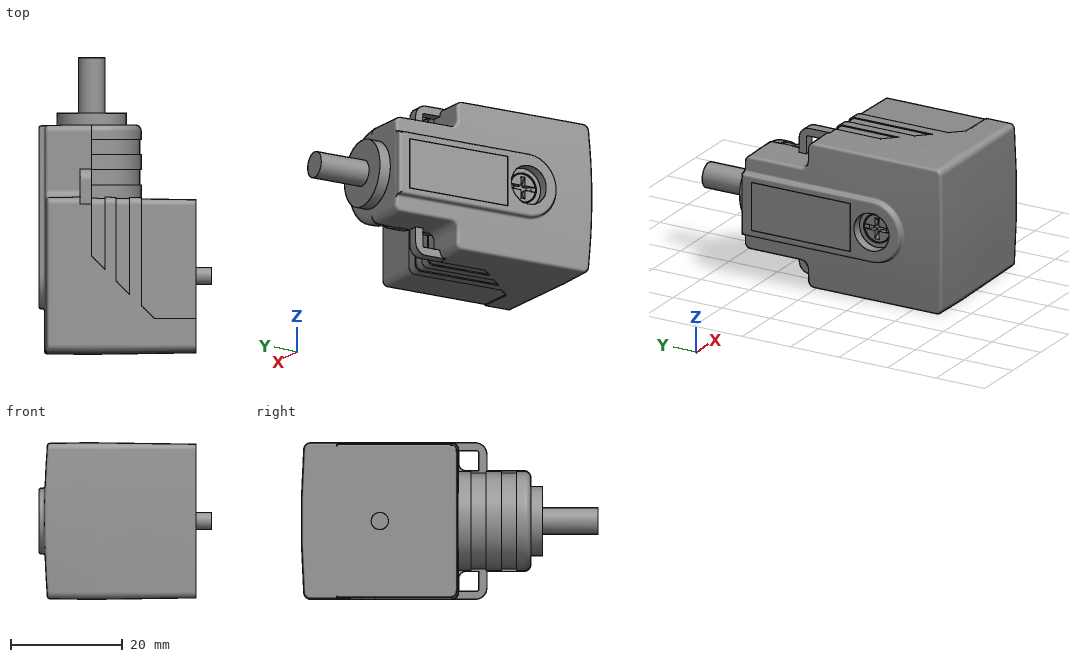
import cadquery as cq


BOX_LENGTH = 28.15
BOX_HALF_HEIGHT = 14.0
FRONT_BOW = 0.55
DRAFT = 0.8
CORNER_RADIUS = 1.25

BODY_DEPTH = 18.65
BODY_RIM_RADIUS = 0.15
RECESS_DEPTH = 0.2
STRIP_WIDTH = 2.4
STRIP_STARTS = ((0, 17.6), (4.35, 13.15))
PANEL_START_X = 8.85
PANEL_START_Y = 6.45
PANEL_CORNER = 2.35
OVERSHOOT = 0.55

COVER_DEPTH = 8.45
COVER_BOW = 0.6
COVER_RIM_RADIUS = 0.55

NECK_END = 41.0
NECK_HALF_HEIGHT = 9.0
NECK_RADIUS = 8.85
NECK_RIM_RADIUS = 1.15
GRIP_GROOVE_STARTS = (30.3, 35.7)
GRIP_GROOVE_WIDTH = 2.7
GRIP_GROOVE_DEPTH = 0.25
GLAND_RADIUS = 6.2
GLAND_END = 43.1
CABLE_RADIUS = 2.4
CABLE_END = 53.0

EAR_THICKNESS = 2.05
EAR_END = 33.2
EAR_BAR = 1.5
EAR_OUTER_RADIUS = 2.1
EAR_INNER_RADIUS = 0.35

PLATE_FACE_X = -9.45
PLATE_HALF_WIDTH = 5.9
PLATE_END = 40.85
PLATE_THICKNESS = 3.2
PLATE_RIM_RADIUS = 0.5
PLATE_FOOT_RADIUS = 0.4
LABEL_START = 18.45
LABEL_END = 38.8
LABEL_HALF_WIDTH = 4.6
LABEL_DEPTH = 0.1
SCREW_Y = 14.05
BORE_RADIUS = 3.6
BORE_DEPTH = 2.0
HEAD_RADIUS = 2.6
HEAD_GAP = 0.15
HEAD_GAP_DEPTH = 0.2
SLOT_WIDTH = 0.85
SLOT_DEPTH = 0.3
CROSS_LENGTH = 4.05
CROSS_DEPTH = 1.05
CROSS_TAPER = 37

PIN_RADIUS = 1.55
PIN_END_X = 21.4
PIN_RIM_RADIUS = 0.15


def block(x_range, y_range, z_range):
    """Axis-aligned box between the given limits."""
    spans = (x_range, y_range, z_range)
    lengths = [high - low for low, high in spans]
    return cq.Workplane("XY").box(*lengths, centered=False).translate([low for low, _ in spans])


def disc_y(radius, start, end):
    """Cylinder on the cable axis."""
    return cq.Workplane("XZ", origin=(0, start, 0)).circle(radius).extrude(start - end)


def disc_x(radius, start, end, y):
    """Cylinder along +X at the given Y."""
    return cq.Workplane("YZ", origin=(start, y, 0)).circle(radius).extrude(end - start)


def drafted_extrusion(outline, depth):
    """Extrude a YZ outline along X with rounded corners and draft."""
    wire = outline.val()
    rounded = wire.fillet2D(CORNER_RADIUS, wire.Vertices())
    return cq.Workplane("YZ").add(rounded).toPending().extrude(depth, taper=DRAFT)


def drafted_box(inset=0.0):
    """Body block with a bowed front; inset shrinks it in Y and Z."""
    half = BOX_HALF_HEIGHT - inset
    front = FRONT_BOW + inset
    outline = (
        cq.Workplane("YZ")
        .moveTo(front, -half)
        .lineTo(BOX_LENGTH - inset, -half)
        .lineTo(BOX_LENGTH - inset, half)
        .lineTo(front, half)
        .threePointArc((inset, 0), (front, -half))
        .close()
    )
    return drafted_extrusion(outline, BODY_DEPTH)


def recess_prism(*points):
    """Prism through the full height over an outline in the XY plane."""
    return cq.Workplane("XY").polyline(points).close().extrude(BOX_HALF_HEIGHT, both=True)


def make_body():
    body = drafted_box()
    back = BOX_LENGTH + OVERSHOOT
    right = BODY_DEPTH + OVERSHOOT
    recesses = recess_prism(
        (PANEL_START_X, back),
        (PANEL_START_X, PANEL_START_Y + PANEL_CORNER),
        (PANEL_START_X + PANEL_CORNER, PANEL_START_Y),
        (right, PANEL_START_Y),
        (right, back),
    )
    for x, y in STRIP_STARTS:
        end_x = x + STRIP_WIDTH
        recesses = recesses.union(recess_prism((x, back), (x, y), (end_x, y - STRIP_WIDTH), (end_x, back)))
    body = body.cut(recesses.cut(drafted_box(RECESS_DEPTH)))
    return body.faces(">X").edges().fillet(BODY_RIM_RADIUS)


def make_cover():
    outline = (
        cq.Workplane("YZ")
        .moveTo(FRONT_BOW, -BOX_HALF_HEIGHT)
        .lineTo(BOX_LENGTH, -BOX_HALF_HEIGHT)
        .lineTo(BOX_LENGTH, -NECK_HALF_HEIGHT)
        .lineTo(NECK_END, -NECK_HALF_HEIGHT)
        .lineTo(NECK_END, NECK_HALF_HEIGHT)
        .lineTo(BOX_LENGTH, NECK_HALF_HEIGHT)
        .lineTo(BOX_LENGTH, BOX_HALF_HEIGHT)
        .lineTo(FRONT_BOW, BOX_HALF_HEIGHT)
        .threePointArc((0, 0), (FRONT_BOW, -BOX_HALF_HEIGHT))
        .close()
    )
    cover = drafted_extrusion(outline, -COVER_DEPTH - OVERSHOOT)
    half = BOX_HALF_HEIGHT + OVERSHOOT
    edge_x = COVER_BOW - COVER_DEPTH
    crown = (
        cq.Workplane("XZ", origin=(0, -OVERSHOOT, 0))
        .moveTo(0, -half)
        .lineTo(edge_x, -half)
        .threePointArc((-COVER_DEPTH, 0), (edge_x, half))
        .lineTo(0, half)
        .close()
        .extrude(-NECK_END - 2 * OVERSHOOT)
    )
    return cover.intersect(crown).faces("<X").edges().fillet(COVER_RIM_RADIUS)


def make_ears():
    """Both ears as one U-shaped loop; its middle lies inside the neck."""
    root = BOX_LENGTH - CORNER_RADIUS
    loop = block((-EAR_THICKNESS, 0), (root, EAR_END), (-BOX_HALF_HEIGHT, BOX_HALF_HEIGHT))
    loop = loop.edges("|X and >Y").fillet(EAR_OUTER_RADIUS)
    window_half = BOX_HALF_HEIGHT - EAR_BAR
    window = block((-EAR_THICKNESS, 0), (root, EAR_END - EAR_BAR), (-window_half, window_half))
    window = window.edges("|X and >Y").fillet(EAR_INNER_RADIUS)
    return loop.cut(window)


def make_neck():
    neck = disc_y(NECK_RADIUS, BOX_LENGTH - CORNER_RADIUS, NECK_END)
    neck = neck.faces(">Y").edges().fillet(NECK_RIM_RADIUS)
    for start in GRIP_GROOVE_STARTS:
        end = start + GRIP_GROOVE_WIDTH
        ring = disc_y(NECK_RADIUS + OVERSHOOT, start, end).cut(
            disc_y(NECK_RADIUS - GRIP_GROOVE_DEPTH, start, end)
        )
        neck = neck.cut(ring)
    joint_half = block((0, NECK_RADIUS), (0, NECK_END), (-NECK_RADIUS, NECK_RADIUS))
    return neck.intersect(joint_half)


def make_plate():
    """Tongue with a round front end and a flat back end."""
    half_width = PLATE_HALF_WIDTH
    plate = (
        cq.Workplane("YZ", origin=(PLATE_FACE_X, 0, 0))
        .moveTo(PLATE_END, -half_width)
        .lineTo(SCREW_Y, -half_width)
        .threePointArc((SCREW_Y - half_width, 0), (SCREW_Y, half_width))
        .lineTo(PLATE_END, half_width)
        .close()
        .extrude(PLATE_THICKNESS)
    )
    return plate.faces("<X").edges().fillet(PLATE_RIM_RADIUS)


def make_cover_with_plate():
    cover = make_cover().union(make_plate())
    reach = PLATE_HALF_WIDTH + OVERSHOOT
    foot = cq.selectors.BoxSelector(
        (-COVER_DEPTH - OVERSHOOT, SCREW_Y - reach, -reach),
        (-COVER_DEPTH + COVER_BOW, LABEL_END, reach),
    )
    cover = cover.edges(foot).fillet(PLATE_FOOT_RADIUS)
    label = block(
        (PLATE_FACE_X, PLATE_FACE_X + LABEL_DEPTH),
        (LABEL_START, LABEL_END),
        (-LABEL_HALF_WIDTH, LABEL_HALF_WIDTH),
    )
    return cover.cut(label)


def cut_screw(part):
    """Counterbore with a flush screw head: rim gap, slot and cross drive."""
    floor_x = PLATE_FACE_X + BORE_DEPTH
    bore = disc_x(BORE_RADIUS, PLATE_FACE_X, floor_x, SCREW_Y)
    gap_end = floor_x + HEAD_GAP_DEPTH
    gap = disc_x(HEAD_RADIUS + HEAD_GAP, floor_x, gap_end, SCREW_Y).cut(
        disc_x(HEAD_RADIUS, floor_x, gap_end, SCREW_Y)
    )

    def groove(length_y, length_z, depth):
        return block(
            (floor_x, floor_x + depth),
            (SCREW_Y - length_y / 2, SCREW_Y + length_y / 2),
            (-length_z / 2, length_z / 2),
        )

    slot = groove(2 * (HEAD_RADIUS + HEAD_GAP), SLOT_WIDTH, SLOT_DEPTH)
    cross = groove(CROSS_LENGTH, SLOT_WIDTH, CROSS_DEPTH).union(
        groove(SLOT_WIDTH, CROSS_LENGTH, CROSS_DEPTH)
    )
    pyramid = (
        cq.Workplane("YZ", origin=(floor_x, SCREW_Y, 0))
        .rect(CROSS_LENGTH, CROSS_LENGTH)
        .extrude(CROSS_DEPTH, taper=CROSS_TAPER)
    )
    return part.cut(bore).cut(gap).cut(slot).cut(cross.intersect(pyramid))


def make_pin():
    pin = disc_x(PIN_RADIUS, BODY_DEPTH - OVERSHOOT, PIN_END_X, SCREW_Y)
    return pin.faces(">X").edges().fillet(PIN_RIM_RADIUS)


housing = make_body().union(make_cover_with_plate()).union(make_ears()).union(make_neck())
gland = disc_y(GLAND_RADIUS, NECK_END - OVERSHOOT, GLAND_END)
cable = disc_y(CABLE_RADIUS, GLAND_END - OVERSHOOT, CABLE_END)
result = cut_screw(housing.union(gland).union(cable).union(make_pin()))